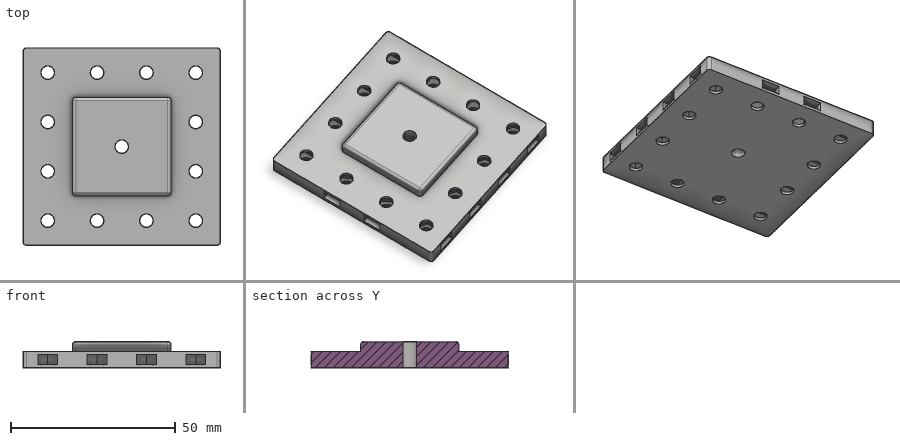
import cadquery as cq
import math

plate_side = 60.0
total_height = 8.0
plate_thickness = 5.0
corner_radius = 1.0

pad_side = plate_side / 2
pad_height = total_height - plate_thickness
pad_radius = corner_radius

hole_diameter = 4.0
holes_per_side = 4
hole_pitch = plate_side / holes_per_side
edge_distance = hole_pitch / 2

nut_width = 6.0
nut_thickness = 3.0
nut_point = nut_width / math.sqrt(3)
nut_floor = (plate_thickness - nut_thickness) / 2


def rounded_block(side, height, radius):
    return cq.Workplane("XY").box(side, side, height, centered=(True, True, False)).edges("|Z").fillet(radius)


def nut_pocket(offset, turn):
    """Slot open on the -Y side at X = offset, then turned about Z by `turn` degrees."""
    half_width = nut_width / 2
    edge_y = -plate_side / 2
    hole_y = edge_y + edge_distance
    shoulder_y = hole_y + nut_point / 2
    outline = [
        (offset - half_width, edge_y),
        (offset + half_width, edge_y),
        (offset + half_width, shoulder_y),
        (offset, hole_y + nut_point),
        (offset - half_width, shoulder_y),
    ]
    slot = cq.Workplane("XY").workplane(offset=nut_floor).polyline(outline).close().extrude(nut_thickness)
    return slot.rotate((0, 0, 0), (0, 0, 1), turn)


plate = rounded_block(plate_side, plate_thickness, corner_radius)
pad = rounded_block(pad_side, pad_height, pad_radius).faces(">Z").edges().fillet(pad_radius)
result = plate.union(pad.translate((0, 0, plate_thickness)))

row = [-plate_side / 2 + edge_distance + i * hole_pitch for i in range(holes_per_side)]
border = [(x, y) for x in row for y in row if x in (row[0], row[-1]) or y in (row[0], row[-1])]
drills = cq.Workplane("XY").pushPoints(border + [(0, 0)]).circle(hole_diameter / 2).extrude(total_height)
result = result.cut(drills)

for turn in (0, 180):
    for offset in row:
        result = result.cut(nut_pocket(offset, turn))
for turn in (90, -90):
    for offset in row[1:-1]:
        result = result.cut(nut_pocket(offset, turn))